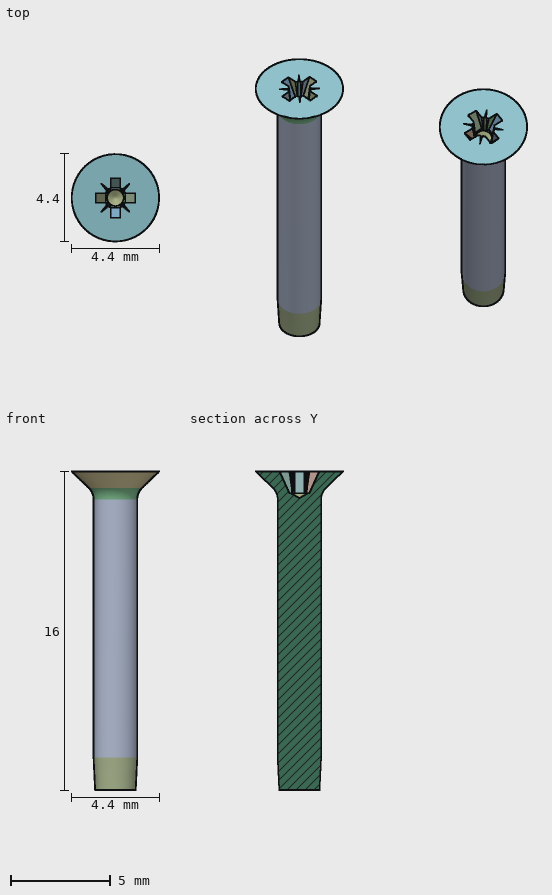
import cadquery as cq
import math

LENGTH = 16.0
HEAD_RADIUS = 2.2
SHANK_RADIUS = 2.2 / 2
HEAD_HALF_ANGLE = math.radians(46)
NECK_RADIUS = 0.8
TIP_LENGTH = 1.63
TIP_RADIUS = 1.02

RECESS_DEPTH = 1.09
CORE_SIDES = 8
CORE_TOP_RADIUS = 0.53
CORE_FLOOR_RADIUS = 0.42
CORE_POINT_DEPTH = 0.24
ARM_REACH = 1.0
ARM_FLOOR_REACH = 0.5
ARM_WIDTH = 0.48
RELIEF_REACH = 0.56
RELIEF_FLOOR_REACH = 0.45
RELIEF_WIDTH = 0.15
TICK_REACH = 1.0
TICK_RADIUS = 0.056

TOP = LENGTH / 2
BOTTOM = -LENGTH / 2
RECESS_FLOOR = TOP - RECESS_DEPTH


def screw_body():
    """Revolve the tapered tip, shank, rounded neck and countersunk head."""
    corner_z = TOP - (HEAD_RADIUS - SHANK_RADIUS) / math.tan(HEAD_HALF_ANGLE)
    neck_bottom = corner_z - NECK_RADIUS * math.tan(HEAD_HALF_ANGLE / 2)
    neck_center_x = SHANK_RADIUS + NECK_RADIUS

    def neck_point(angle):
        x = neck_center_x - NECK_RADIUS * math.cos(angle)
        z = neck_bottom + NECK_RADIUS * math.sin(angle)
        return x, z

    return (
        cq.Workplane("XZ")
        .moveTo(0, BOTTOM)
        .lineTo(TIP_RADIUS, BOTTOM)
        .lineTo(SHANK_RADIUS, BOTTOM + TIP_LENGTH)
        .lineTo(SHANK_RADIUS, neck_bottom)
        .threePointArc(neck_point(HEAD_HALF_ANGLE / 2), neck_point(HEAD_HALF_ANGLE))
        .lineTo(HEAD_RADIUS, TOP)
        .lineTo(0, TOP)
        .close()
        .revolve(360, (0, 0), (0, 1))
    )


def recess_core():
    """Tapered octagonal well with a conical point below its floor."""

    def octagon(z, flat_distance):
        vertex_diameter = 2 * flat_distance / math.cos(math.pi / CORE_SIDES)
        return (
            cq.Workplane("XY", origin=(0, 0, z))
            .transformed(rotate=(0, 0, 180 / CORE_SIDES))
            .polygon(CORE_SIDES, vertex_diameter)
            .wires()
            .val()
        )

    well = cq.Solid.makeLoft(
        [octagon(TOP, CORE_TOP_RADIUS), octagon(RECESS_FLOOR, CORE_FLOOR_RADIUS)], True
    )
    point = cq.Solid.makeCone(
        CORE_FLOOR_RADIUS, 0, CORE_POINT_DEPTH, cq.Vector(0, 0, RECESS_FLOOR), cq.Vector(0, 0, -1)
    )
    return well.fuse(point)


def sloped_slot(reach, floor_reach, width, angle):
    """Slot across the axis whose two ends slope inward to the floor."""
    outline = [
        (-reach, TOP),
        (reach, TOP),
        (floor_reach, RECESS_FLOOR),
        (-floor_reach, RECESS_FLOOR),
    ]
    slot = cq.Workplane("XZ").polyline(outline).close().extrude(width / 2, both=True)
    return slot.rotate((0, 0, 0), (0, 0, 1), angle)


def tick_groove(angle):
    """Shallow groove narrowing from the core wall to a point."""
    direction = cq.Vector(math.cos(angle), math.sin(angle), 0)
    start = direction * CORE_FLOOR_RADIUS + cq.Vector(0, 0, TOP)
    return cq.Solid.makeCone(TICK_RADIUS, 0, TICK_REACH - CORE_FLOOR_RADIUS, start, direction)


result = screw_body().cut(cq.Workplane(recess_core()))
for arm_angle in (0, 90):
    result = result.cut(sloped_slot(ARM_REACH, ARM_FLOOR_REACH, ARM_WIDTH, arm_angle))
    relief_angle = arm_angle + 45
    result = result.cut(sloped_slot(RELIEF_REACH, RELIEF_FLOOR_REACH, RELIEF_WIDTH, relief_angle))
for tick_angle in range(45, 360, 90):
    result = result.cut(cq.Workplane(tick_groove(math.radians(tick_angle))))